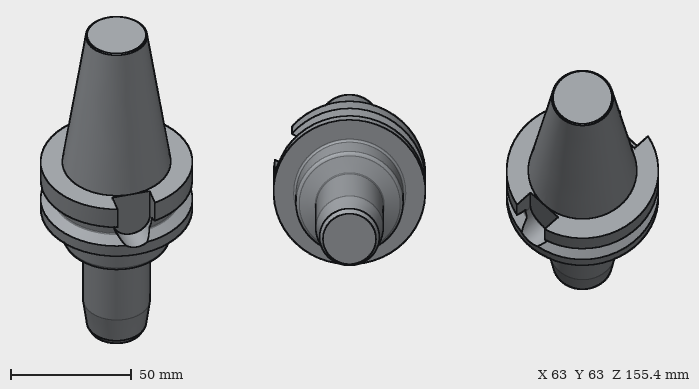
import cadquery as cq
import math


gauge_dia = 44.45
taper_length = 65.4
taper_ratio = 7 / 24
flange_top_z = -2.0
taper_top_dia = gauge_dia - taper_length * taper_ratio
taper_root_dia = gauge_dia - flange_top_z * taper_ratio
taper_chamfer = 0.5

flange_dia = 63.0
flange_bottom_z = -27.0
groove_dia = 53.0
groove_center_z = -16.6
groove_floor_width = 4.8
groove_wall_angle = 27.5
groove_corner_fillet = 0.5

slot_width = 16.1
slot_floor_x = 22.5
slot_bottom_z = -23.0

body_dia = 44.5
body_root_fillet = 1.0
body_edge_fillet = 2.0
body_cone_top_z = -42.0
body_cone_bottom_z = -45.0

nose_dia = 28.0
nose_taper_start_z = -75.0
nose_taper_end_z = -87.4
nose_taper_end_dia = 24.8
nose_bottom_z = -90.0
nose_tip_dia = 22.0
nose_root_fillet = 0.5


def revolve_profile(points):
    """Solid of revolution about Z from (radius, z) points that start and end on the axis."""
    return cq.Workplane("XZ").polyline(points).close().revolve(360, (0, 0, 0), (0, 1, 0))


def circle_edge_at(radius, z):
    """Selector for the circular edge that runs through (radius, z)."""
    tolerance = 0.01
    reach = radius + tolerance
    low = (-reach, -reach, z - tolerance)
    high = (reach, reach, z + tolerance)
    return cq.selectors.BoxSelector(low, high, boundingbox=True)


def make_taper():
    taper = revolve_profile([
        (0, flange_top_z),
        (taper_root_dia / 2, flange_top_z),
        (taper_top_dia / 2, taper_length),
        (0, taper_length),
    ])
    return taper.faces(">Z").edges().chamfer(taper_chamfer)


def make_flange():
    groove_depth = (flange_dia - groove_dia) / 2
    wall_height = groove_depth * math.tan(math.radians(groove_wall_angle))
    floor_top_z = groove_center_z + groove_floor_width / 2
    floor_bottom_z = groove_center_z - groove_floor_width / 2
    flange = revolve_profile([
        (0, flange_top_z),
        (flange_dia / 2, flange_top_z),
        (flange_dia / 2, floor_top_z + wall_height),
        (groove_dia / 2, floor_top_z),
        (groove_dia / 2, floor_bottom_z),
        (flange_dia / 2, floor_bottom_z - wall_height),
        (flange_dia / 2, flange_bottom_z),
        (0, flange_bottom_z),
    ])
    for corner_z in (floor_top_z, floor_bottom_z):
        flange = flange.edges(circle_edge_at(groove_dia / 2, corner_z)).fillet(groove_corner_fillet)
    return flange


def make_body_and_nose():
    lower = revolve_profile([
        (0, flange_bottom_z),
        (body_dia / 2, flange_bottom_z),
        (body_dia / 2, body_cone_top_z),
        (nose_dia / 2, body_cone_bottom_z),
        (nose_dia / 2, nose_taper_start_z),
        (nose_taper_end_dia / 2, nose_taper_end_z),
        (nose_tip_dia / 2, nose_bottom_z),
        (0, nose_bottom_z),
    ])
    lower = lower.edges(circle_edge_at(body_dia / 2, body_cone_top_z)).fillet(body_edge_fillet)
    return lower.edges(circle_edge_at(nose_dia / 2, body_cone_bottom_z)).fillet(nose_root_fillet)


def make_drive_slot(side):
    """Round-bottomed cutter for one slot; side is +1 for +X and -1 for -X."""
    arc_center_z = slot_bottom_z + slot_width / 2
    depth = flange_dia / 2 - slot_floor_x
    outline = (
        cq.Workplane("YZ", origin=(side * slot_floor_x, 0, 0))
        .moveTo(-slot_width / 2, flange_top_z)
        .lineTo(-slot_width / 2, arc_center_z)
        .threePointArc((0, slot_bottom_z), (slot_width / 2, arc_center_z))
        .lineTo(slot_width / 2, flange_top_z)
        .close()
    )
    return outline.extrude(side * depth)


holder = make_flange().union(make_body_and_nose())
holder = holder.edges(circle_edge_at(body_dia / 2, flange_bottom_z)).fillet(body_root_fillet)
for side in (1, -1):
    holder = holder.cut(make_drive_slot(side))
result = holder.union(make_taper())